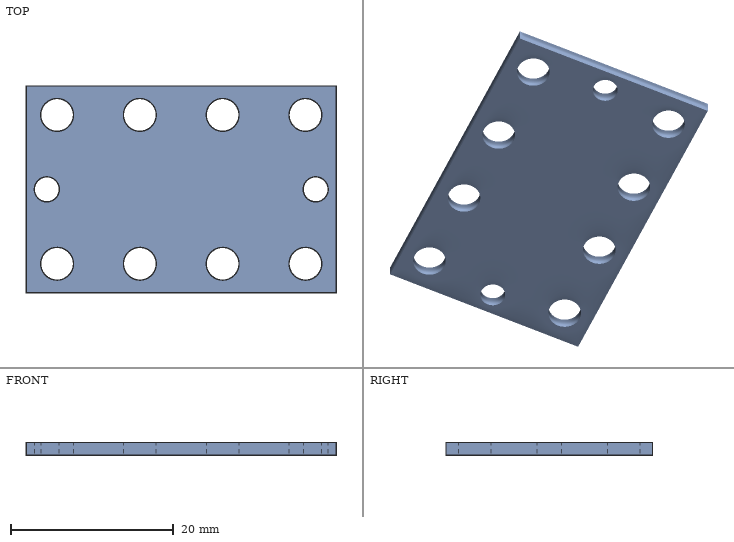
import cadquery as cq

length = 38.1
width = 25.4
thickness = 1.6

large_diameter = 4.0
holes_per_row = 4
hole_pitch = 10.17
row_spacing = 18.3

small_diameter = 3.05
small_spacing = 33.05

plate = cq.Workplane("XY").box(length, width, thickness)

plate = (
    plate.faces(">Z").workplane()
    .rarray(hole_pitch, row_spacing, holes_per_row, 2)
    .hole(large_diameter)
)

result = (
    plate.faces(">Z").workplane()
    .pushPoints([(-small_spacing / 2, 0), (small_spacing / 2, 0)])
    .hole(small_diameter)
)